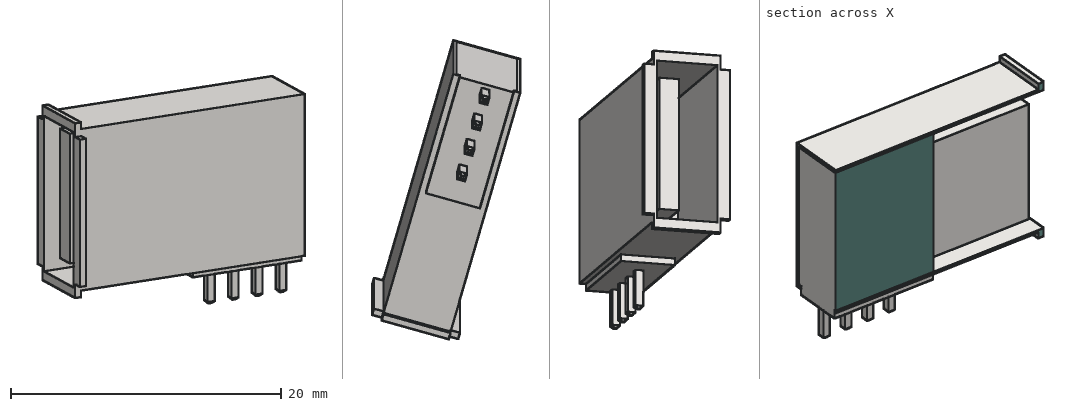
import cadquery as cq

shell_length = 19.25
cavity_width = 4.65
cavity_height = 12.01
wall = 0.25
shell_width = cavity_width + 2 * wall
shell_height = cavity_height + 2 * wall
rim_thickness = 0.5
rim_rise = 0.5
rim_overall_width = 6.62
rim_overall_height = shell_height + 2 * rim_rise
side_flange_height = 11.4

base_length = 9.1
tongue_width = 1.5
tongue_height = 10.03
tongue_side_gap = 0.5
tongue_recess = 1.1
foot_drop = rim_rise
foot_inset = 0.5
foot_width = shell_width - 2 * foot_inset

pin_count = 4
pin_pitch = 2.0
pin_width = 0.6
pin_length = 2.89
pin_chamfer = 0.2
rear_pin_offset = 0.62

shell_bottom = -shell_height / 2
foot_bottom = shell_bottom - foot_drop
base_front = shell_length - base_length


def block(width, height, front, rear):
    """Box centred on X and Z, running from front to rear along Y."""
    return (
        cq.Workplane("XY")
        .box(width, rear - front, height)
        .translate((0, (front + rear) / 2, 0))
    )


def make_foot():
    """Foot block from the cavity floor down to the pin seating level."""
    foot_height = wall + foot_drop
    foot = block(foot_width, foot_height, base_front, shell_length)
    return foot.translate((0, 0, foot_bottom + foot_height / 2))


def make_shell():
    tube = block(shell_width, shell_height, 0, shell_length)
    rim = block(shell_width, rim_overall_height, 0, rim_thickness)
    side_flanges = block(rim_overall_width, side_flange_height, 0, rim_thickness)
    cavity = block(cavity_width, cavity_height, 0, shell_length)
    return tube.union(rim).union(side_flanges).cut(cavity).cut(make_foot())


def make_insulator():
    base = block(cavity_width, cavity_height, base_front, shell_length)
    tongue_x = -cavity_width / 2 + tongue_side_gap + tongue_width / 2
    tongue = block(tongue_width, tongue_height, tongue_recess, base_front)
    tongue = tongue.translate((tongue_x, 0, 0))
    return base.union(tongue).union(make_foot())


def make_pin(y):
    """Square pin hanging from the foot, with a bevelled tip."""
    return (
        cq.Workplane("XY")
        .box(pin_width, pin_width, pin_length)
        .faces("<Z")
        .chamfer(pin_chamfer)
        .translate((0, y, foot_bottom - pin_length / 2))
    )


shell = make_shell()
insulator = make_insulator()
rear_pin_y = shell_length - rear_pin_offset
pins = [make_pin(rear_pin_y - i * pin_pitch) for i in range(pin_count)]

result = cq.Compound.makeCompound([shell.val(), insulator.val(), *[pin.val() for pin in pins]])